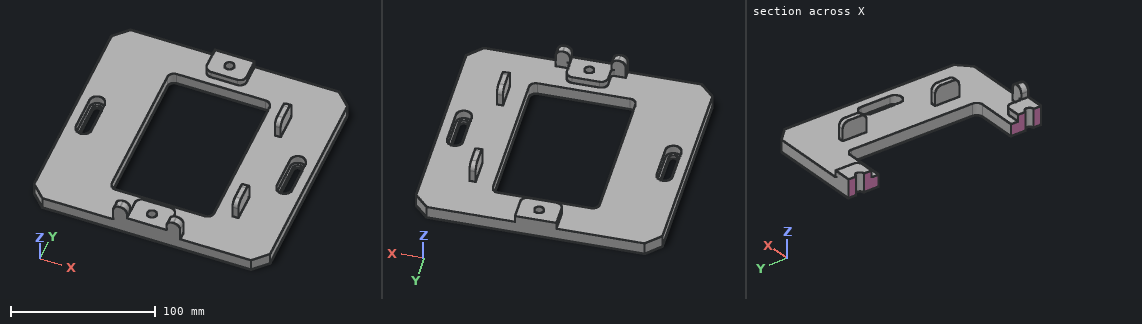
import cadquery as cq
import math

plate_length = 175.5
plate_width = 166.0
plate_thickness = 10.0
corner_cut = 10.2
total_height = 25.0

window_length = 75.8
window_width = 113.9
window_radius = 5.0

pad_length = 29.5
pad_width = 20.0
pad_height = 5.5
pad_radius = 5.0
pad_hole_diameter = 6.7
pad_hole_inset = 10.0

lug_length = 10.2
lug_thickness = 6.1
lug_radius = 5.0
blend_radius = 2.0

tab_thickness = 4.4
tab_width = 20.7
tab_radius = 5.3
tab_x = 53.0
tab_spacing = 79.7

slot_offset = 74.6
slot_length = 31.6
slot_width = 7.0
recess_length = 36.2
recess_width = 11.2
recess_depth = 7.0

upright_height = total_height - plate_thickness
front_edge = -plate_width / 2
sides = (-1, 1)


def make_plate():
    plate = cq.Workplane("XY").box(
        plate_length, plate_width, plate_thickness, centered=(True, True, False)
    )
    plate = plate.edges("|Z").chamfer(corner_cut)
    window = cq.Workplane("XY").box(
        window_length, window_width, plate_thickness, centered=(True, True, False)
    )
    return plate.cut(window.edges("|Z").fillet(window_radius))


def make_front_pad():
    """Pad flush with the -Y edge, rounded at its two inner corners."""
    pad = (
        cq.Workplane("XY", origin=(0, front_edge, plate_thickness))
        .box(pad_length, pad_width, pad_height, centered=(True, False, False))
    )
    return pad.edges("|Z and >Y").fillet(pad_radius)


def make_lug(side):
    """Lug standing against one side of the pad, with both top edges rounded."""
    lug_x = side * (pad_length + lug_length) / 2
    lug = (
        cq.Workplane("XY", origin=(lug_x, front_edge, plate_thickness))
        .box(lug_length, lug_thickness, upright_height, centered=(True, False, False))
    )
    return lug.edges("|Y and >Z").fillet(lug_radius)


def make_blend(side):
    """Concave corner fill, as tall as the pad, between the pad side and the lug back."""
    pad_side = side * pad_length / 2
    lug_back = front_edge + lug_thickness
    diagonal = blend_radius * (1 - math.sqrt(0.5))
    return (
        cq.Workplane("XY", origin=(pad_side, lug_back, plate_thickness))
        .lineTo(side * blend_radius, 0)
        .threePointArc((side * diagonal, diagonal), (0, blend_radius))
        .close()
        .extrude(pad_height)
    )


def make_tab(side):
    tab = (
        cq.Workplane("XY", origin=(tab_x, side * tab_spacing / 2, plate_thickness))
        .box(tab_thickness, tab_width, upright_height, centered=(True, True, False))
    )
    return tab.edges("|X and >Z").fillet(tab_radius)


def cut_slots(body):
    """Cut the two recessed slots, which run along Y."""
    centres = [(side * slot_offset, 0) for side in sides]
    recess_floor = plate_thickness - recess_depth
    through = cq.Workplane("XY").pushPoints(centres).slot2D(slot_length, slot_width, 90)
    recess = (
        cq.Workplane("XY", origin=(0, 0, recess_floor))
        .pushPoints(centres)
        .slot2D(recess_length, recess_width, 90)
    )
    return body.cut(through.extrude(plate_thickness)).cut(recess.extrude(recess_depth))


def cut_pad_holes(body):
    hole_y = plate_width / 2 - pad_hole_inset
    holes = (
        cq.Workplane("XY")
        .pushPoints([(0, side * hole_y) for side in sides])
        .circle(pad_hole_diameter / 2)
        .extrude(plate_thickness + pad_height)
    )
    return body.cut(holes)


front_pad = make_front_pad()
body = make_plate().union(front_pad).union(front_pad.mirror("XZ"))
for side in sides:
    body = body.union(make_lug(side)).union(make_blend(side)).union(make_tab(side))

result = cut_pad_holes(cut_slots(body))